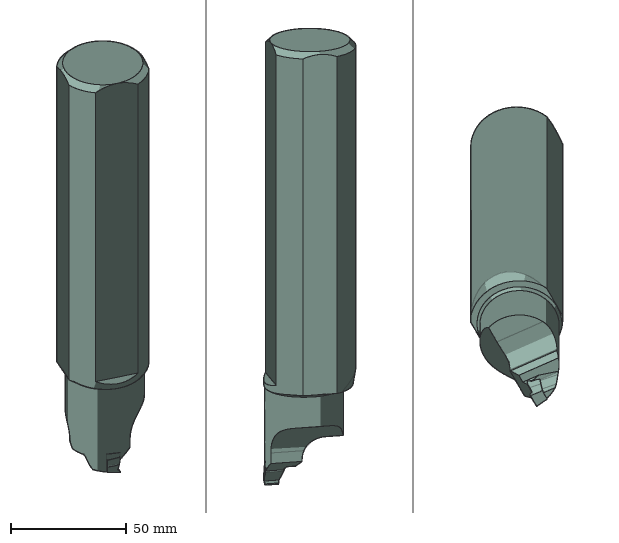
import cadquery as cq
import math

total_height = 200
shank_radius = 20
side_flat_y = 18.5
back_flat_x = 17.5
top_chamfer = 2.5
shank_bottom_z = 44.8
back_flat_end_z = 47.8
back_flat_runout = 1.5

trim_height = 7.5
trim_bottom_radius = 21.5
trim_top_radius = 22.5

head_radius = 17.2
head_axis_x = 2.5
collar_height = 1.2

shoulder_z = 22
scoop_radius = 10
scoop_wall_x = 4.8
scoop_wall_end_z = 11.0
step_x = 7.0
step_end_x = 10.8
step_z = 8.2

web_y = 5.7
web_scoop_radius = 14.2
web_scoop_center_z = 16
web_bottom_z = 11.2
face_top_z = 6.5

relief_angle = 8
nose_right_x = 19.8
nose_shoulder_x = 6.5
nose_shoulder_z = 10.2
nose_upper_x = 12
nose_upper_z = 6.5
nose_lower_x = 14
nose_lower_z = 2
nose_foot_x = 15.5
flank_top_z = 10.2

insert_face_y = 0.5
insert_back_y = -5.0
insert_left_x = 11.0
insert_right_x = 20.2
insert_top_z = 7.8
insert_tip_z = 4.2
insert_corner_x = 12.5
insert_corner_z = 4
insert_foot_x = 14.2
edge_land = 0.5
groove_low_z = 1.5
groove_top_z = 5.8
groove_depth = 1.0

margin = 10
reach = 2 * shank_radius + margin


def cylinder(radius, bottom_z, top_z, center_x=0):
    return (
        cq.Workplane("XY", origin=(center_x, 0, bottom_z))
        .circle(radius)
        .extrude(top_z - bottom_z)
    )


def cone(bottom_radius, top_radius, bottom_z, height, center_x):
    solid = cq.Solid.makeCone(bottom_radius, top_radius, height, cq.Vector(center_x, 0, bottom_z))
    return cq.Workplane("XY").add(solid)


def block(x_range, y_range, z_range):
    """Box given by its lower and upper limit along each axis."""
    sizes = [high - low for low, high in (x_range, y_range, z_range)]
    corner = (x_range[0], y_range[0], z_range[0])
    return cq.Workplane("XY", origin=corner).box(*sizes, centered=False)


def make_shank():
    bar = cylinder(shank_radius, shank_bottom_z, total_height).faces(">Z").chamfer(top_chamfer)
    between_flats = (
        cq.Workplane("XZ", origin=(0, side_flat_y, 0))
        .moveTo(-shank_radius, shank_bottom_z)
        .lineTo(shank_radius, shank_bottom_z)
        .lineTo(shank_radius, back_flat_end_z - back_flat_runout)
        .lineTo(back_flat_x, back_flat_end_z)
        .lineTo(back_flat_x, total_height)
        .lineTo(-shank_radius, total_height)
        .close()
        .extrude(2 * side_flat_y)
    )
    trim_ring = cylinder(reach, shank_bottom_z, shank_bottom_z + trim_height).cut(
        cone(trim_bottom_radius, trim_top_radius, shank_bottom_z, trim_height, head_axis_x)
    )
    return bar.intersect(between_flats).cut(trim_ring)


def make_head_blank():
    barrel = cylinder(head_radius, 0, shank_bottom_z, head_axis_x)
    collar_bottom_z = shank_bottom_z - collar_height
    collar = cone(
        head_radius, head_radius + collar_height, collar_bottom_z, collar_height, head_axis_x
    ).intersect(cylinder(shank_radius, collar_bottom_z, shank_bottom_z))
    return barrel.union(collar)


def make_left_chip_space():
    scoop_center_x = scoop_wall_x - scoop_radius
    scoop_center_z = shoulder_z - scoop_radius
    diagonal = scoop_radius * math.sqrt(0.5)
    return (
        cq.Workplane("XZ", origin=(0, reach, 0))
        .moveTo(-reach, shoulder_z)
        .lineTo(scoop_center_x, shoulder_z)
        .threePointArc(
            (scoop_center_x + diagonal, scoop_center_z + diagonal),
            (scoop_wall_x, scoop_center_z),
        )
        .lineTo(scoop_wall_x, scoop_wall_end_z)
        .lineTo(step_x, step_z)
        .lineTo(step_end_x, step_z)
        .lineTo(nose_upper_x, nose_upper_z)
        .lineTo(nose_upper_x, -margin)
        .lineTo(-reach, -margin)
        .close()
        .extrude(2 * reach)
    )


def make_web_chip_space():
    scoop_center_y = web_y + web_scoop_radius
    diagonal = web_scoop_radius * math.sqrt(0.5)
    return (
        cq.Workplane("YZ", origin=(-reach, 0, 0))
        .moveTo(scoop_center_y, web_scoop_center_z + web_scoop_radius)
        .threePointArc(
            (scoop_center_y - diagonal, web_scoop_center_z + diagonal),
            (web_y, web_scoop_center_z),
        )
        .lineTo(web_y, web_bottom_z)
        .lineTo(insert_face_y, face_top_z)
        .lineTo(insert_face_y, -margin)
        .lineTo(scoop_center_y, -margin)
        .close()
        .extrude(2 * reach)
    )


def make_nose_clearance():
    """Material removed around the nose, which narrows toward -Y."""
    nose = (
        cq.Workplane("XZ", origin=(0, insert_face_y, 0))
        .moveTo(nose_shoulder_x, nose_shoulder_z)
        .lineTo(nose_upper_x, nose_upper_z)
        .lineTo(nose_lower_x, nose_lower_z)
        .lineTo(nose_foot_x, 0)
        .lineTo(nose_right_x, 0)
        .lineTo(nose_right_x, shoulder_z)
        .lineTo(nose_shoulder_x, shoulder_z)
        .close()
        .extrude(head_radius, taper=relief_angle)
    )
    depth = (-reach, insert_face_y)
    around_nose = block((step_x, reach), depth, (-margin, step_z))
    beside_flank = block((back_flat_x, reach), depth, (-margin, flank_top_z))
    return around_nose.union(beside_flank).cut(nose)


def make_insert_plate():
    """Outer shape of the insert, which is also the shape of its seat in the holder."""
    return (
        cq.Workplane("XZ", origin=(0, insert_face_y, 0))
        .moveTo(insert_left_x, insert_top_z)
        .lineTo(insert_corner_x, insert_corner_z)
        .lineTo(insert_foot_x, 0)
        .lineTo(insert_right_x, 0)
        .lineTo(insert_right_x, insert_tip_z)
        .lineTo(shank_radius, insert_tip_z)
        .lineTo(shank_radius, insert_top_z)
        .close()
        .extrude(insert_face_y - insert_back_y, taper=relief_angle)
    )


def make_insert():
    chip_groove = (
        cq.Workplane("YZ")
        .moveTo(insert_face_y, edge_land)
        .lineTo(insert_face_y - groove_depth, groove_low_z)
        .lineTo(insert_face_y, groove_top_z)
        .close()
        .extrude(reach)
    )
    return make_insert_plate().cut(chip_groove)


holder = (
    make_head_blank()
    .cut(make_left_chip_space())
    .cut(make_web_chip_space())
    .cut(make_nose_clearance())
    .union(make_shank())
    .cut(make_insert_plate())
)

insert = make_insert()

result = cq.Compound.makeCompound([holder.val(), insert.val()])